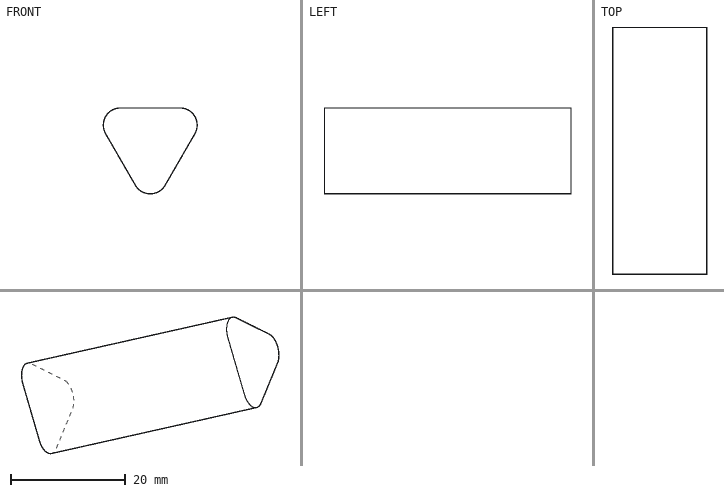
import cadquery as cq
import math

length = 43.0
corner_radius = 3.0
corner_spacing = 10.35

half_spacing = corner_spacing / 2
triangle_height = corner_spacing * math.sqrt(3) / 2
top_z = triangle_height / 3
corner_centres = [
    (-half_spacing, top_z),
    (half_spacing, top_z),
    (0, top_z - triangle_height),
]

result = (
    cq.Workplane("XZ")
    .polyline(corner_centres)
    .close()
    .offset2D(corner_radius, "arc")
    .extrude(length / 2, both=True)
)